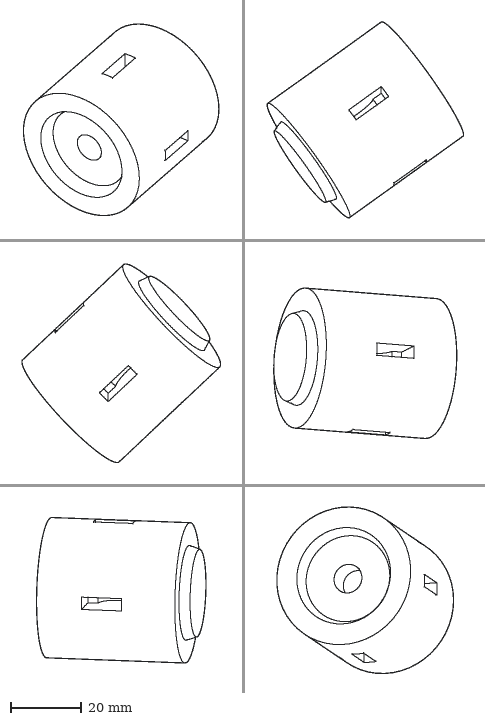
import cadquery as cq

body_diameter = 40.0
total_length = 43.0
spigot_length = 3.0
body_length = total_length - spigot_length
spigot_base_diameter = 27.0
spigot_tip_diameter = 25.0

socket_mouth_diameter = 28.0
socket_floor_diameter = 25.0
socket_depth = 4.0
hole_diameter = 8.3
hole_depth = 8.6

slot_width = 3.55
slot_start = 13.07
slot_end = 24.5
step_start = 16.0
step_radius = 5.0
step_end = step_start + step_radius
shallow_floor_radius = 10.5
deep_floor_radius = shallow_floor_radius - step_radius
slot_angles = (0, 90, 180, 270)


def turned_body():
    """Body with a tapered spigot behind and a tapered socket and hole in front."""
    profile = (
        cq.Workplane("XY")
        .moveTo(0, socket_depth + hole_depth)
        .lineTo(hole_diameter / 2, socket_depth + hole_depth)
        .lineTo(hole_diameter / 2, socket_depth)
        .lineTo(socket_floor_diameter / 2, socket_depth)
        .lineTo(socket_mouth_diameter / 2, 0)
        .lineTo(body_diameter / 2, 0)
        .lineTo(body_diameter / 2, body_length)
        .lineTo(spigot_base_diameter / 2, body_length)
        .lineTo(spigot_tip_diameter / 2, total_length)
        .lineTo(0, total_length)
        .close()
    )
    return profile.revolve(360, (0, 0, 0), (0, 1, 0))


def slot_cutter():
    """Slot opening toward +X; a concave quarter round joins its two floor levels."""
    return (
        cq.Workplane("XY")
        .moveTo(body_diameter, slot_start)
        .lineTo(shallow_floor_radius, slot_start)
        .lineTo(shallow_floor_radius, step_start)
        .radiusArc((deep_floor_radius, step_end), step_radius)
        .lineTo(deep_floor_radius, slot_end)
        .lineTo(body_diameter, slot_end)
        .close()
        .extrude(slot_width / 2, both=True)
    )


result = turned_body()
for angle in slot_angles:
    result = result.cut(slot_cutter().rotate((0, 0, 0), (0, 1, 0), angle))